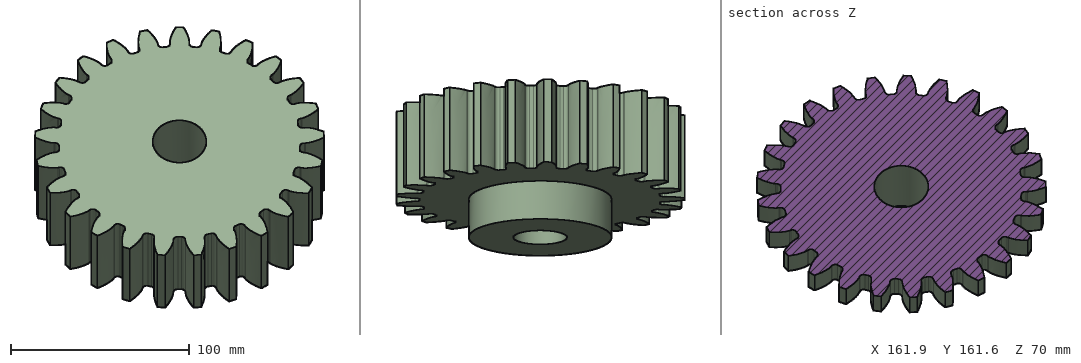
import cadquery as cq
import math

module = 6.0
tooth_count = 25
pressure_angle = math.radians(20)
face_width = 48.0
overall_height = 70.0
hub_diameter = 80.0
bore_diameter = 30.0
dedendum = 1.25 * module
root_fillet = 0.38 * module
flank_samples = 6

hub_height = overall_height - face_width
pitch_radius = module * tooth_count / 2
tip_radius = pitch_radius + module
root_radius = pitch_radius - dedendum
base_radius = pitch_radius * math.cos(pressure_angle)

tooth_pitch = 2 * math.pi / tooth_count
first_tooth_angle = -math.pi / 2


def involute(angle):
    """Involute function: polar angle swept for a given pressure angle."""
    return math.tan(angle) - angle


base_half_angle = tooth_pitch / 4 + involute(pressure_angle)

fillet_center_radius = root_radius + root_fillet
fillet_center_angle = base_half_angle + math.asin(root_fillet / fillet_center_radius)
fillet_top_radius = math.sqrt(fillet_center_radius**2 - root_fillet**2)


def polar(radius, angle):
    return (radius * math.cos(angle), radius * math.sin(angle))


def flank_points(tooth_angle, side):
    """Involute points from base circle to tip; side is -1 or +1 about the tooth centre."""
    points = []
    for i in range(flank_samples):
        radius = base_radius + (tip_radius - base_radius) * i / (flank_samples - 1)
        sweep = involute(math.acos(min(1.0, base_radius / radius)))
        points.append(polar(radius, tooth_angle + side * (base_half_angle - sweep)))
    return points


def fillet_points(tooth_angle, side):
    """Start on the root circle, middle, and end on the radial line of one root fillet."""
    center_angle = tooth_angle + side * fillet_center_angle
    center = polar(fillet_center_radius, center_angle)
    start = polar(root_radius, center_angle)
    end = polar(fillet_top_radius, tooth_angle + side * base_half_angle)
    chord_x = (start[0] + end[0]) / 2 - center[0]
    chord_y = (start[1] + end[1]) / 2 - center[1]
    stretch = root_fillet / math.hypot(chord_x, chord_y)
    middle = (center[0] + chord_x * stretch, center[1] + chord_y * stretch)
    return start, middle, end


def add_tooth(outline, tooth_angle):
    """Draw one tooth counter-clockwise, then the root arc up to the next tooth."""
    _, rise_middle, rise_end = fillet_points(tooth_angle, -1)
    rising = flank_points(tooth_angle, -1)
    falling = flank_points(tooth_angle, 1)[::-1]
    fall_end, fall_middle, fall_start = fillet_points(tooth_angle, 1)
    next_start = fillet_points(tooth_angle + tooth_pitch, -1)[0]

    outline = outline.threePointArc(rise_middle, rise_end).lineTo(*rising[0])
    outline = outline.spline(rising[1:], includeCurrent=True)
    outline = outline.threePointArc(polar(tip_radius, tooth_angle), falling[0])
    outline = outline.spline(falling[1:], includeCurrent=True)
    outline = outline.lineTo(*fall_start).threePointArc(fall_middle, fall_end)
    return outline.threePointArc(polar(root_radius, tooth_angle + tooth_pitch / 2), next_start)


def make_gear():
    start = fillet_points(first_tooth_angle, -1)[0]
    outline = cq.Workplane("XY").workplane(offset=hub_height).moveTo(*start)
    for i in range(tooth_count):
        outline = add_tooth(outline, first_tooth_angle + i * tooth_pitch)
    return outline.close().extrude(face_width)


def make_hub():
    return cq.Workplane("XY").circle(hub_diameter / 2).extrude(hub_height)


def make_bore():
    return cq.Workplane("XY").circle(bore_diameter / 2).extrude(overall_height)


result = make_gear().union(make_hub()).cut(make_bore())